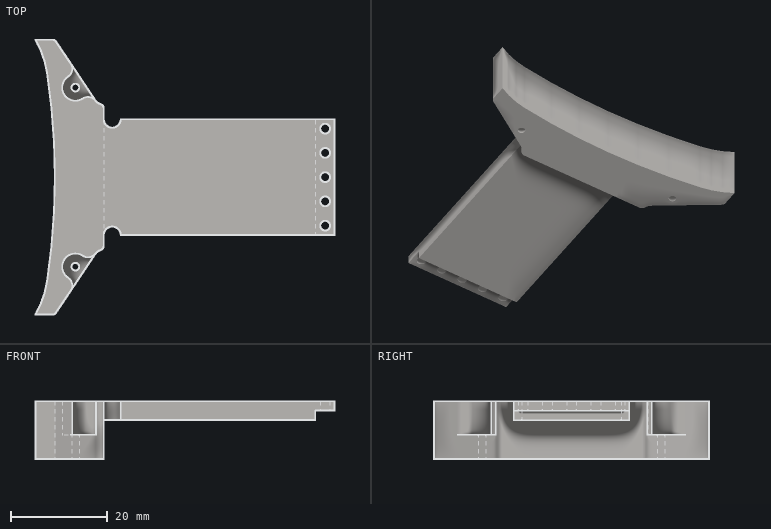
import cadquery as cq
import math

length = 62.0
width = 57.0
height = 12.0
half_width = width / 2

front_hollow = 4.0
front_break_x = 2.4
front_break_y = 21.6
tip_length = 4.0
tip_fillet = 1.0
head_length = 14.2
slope_end_x = 12.85
slope_end_y = 15.3
shoulder_round = 1.0
shoulder_blend = 2.0
shoulder_round_x = head_length - shoulder_round
shoulder_round_y = 14.2

plate_width = 24.0
plate_thickness = 3.95
lip_length = 4.0
lip_thickness = 2.0
notch_radius = 1.75

lip_hole_diameter = 2.0
lip_hole_count = 5
lip_hole_pitch = 5.0
lip_hole_x = length - 2.0

screw_x = 8.3
screw_y = 18.55
screw_diameter = 1.55
seat_radius = 2.7
seat_mouth_radius = 2.0
seat_depth = 7.0


slope_length = math.hypot(slope_end_x - tip_length, slope_end_y - half_width)
along_x = (slope_end_x - tip_length) / slope_length
along_y = (slope_end_y - half_width) / slope_length
outward_x = -along_y
outward_y = along_x


def distance_outside_slope(x, y):
    """Distance from the sloping +Y side to a point, positive outside the head."""
    return (x - tip_length) * outward_x + (y - half_width) * outward_y


def shoulder_points():
    """Points of the +Y shoulder: a concave blend off the slope, then a convex round."""
    center_distance = shoulder_round + shoulder_blend
    step_out = shoulder_blend - distance_outside_slope(shoulder_round_x, shoulder_round_y)
    step_back = math.sqrt(center_distance**2 - step_out**2)
    blend_x = shoulder_round_x + step_out * outward_x - step_back * along_x
    blend_y = shoulder_round_y + step_out * outward_y - step_back * along_y

    start_angle = math.atan2(-outward_y, -outward_x)
    end_angle = math.atan2(shoulder_round_y - blend_y, shoulder_round_x - blend_x)

    def on_blend(angle):
        return (blend_x + shoulder_blend * math.cos(angle), blend_y + shoulder_blend * math.sin(angle))

    round_angle = (end_angle + math.pi) / 2
    round_middle = (
        shoulder_round_x + shoulder_round * math.cos(round_angle),
        shoulder_round_y + shoulder_round * math.sin(round_angle),
    )
    return [
        on_blend(start_angle),
        on_blend((start_angle + end_angle) / 2),
        on_blend(end_angle),
        round_middle,
        (head_length, shoulder_round_y),
    ]


def front_middle():
    """Point halfway along the +Y half of the shallow front arc."""
    sagitta = front_hollow - front_break_x
    radius = (front_break_y**2 + sagitta**2) / (2 * sagitta)
    angle = math.asin(front_break_y / radius) / 2
    return (front_hollow - radius * (1 - math.cos(angle)), radius * math.sin(angle))


def tip_arc_middle():
    """Point halfway along the tip arc, which leaves the shallow front arc tangentially."""
    sagitta = front_hollow - front_break_x
    front_slope = 2 * math.atan(sagitta / front_break_y)
    rise = half_width - front_break_y
    chord_slope = math.atan(front_break_x / rise)
    chord = math.hypot(front_break_x, rise)
    bulge = chord / 2 * math.tan((chord_slope - front_slope) / 2)
    return (
        front_break_x / 2 + bulge * math.cos(chord_slope),
        front_break_y + rise / 2 + bulge * math.sin(chord_slope),
    )


def make_head():
    """Full-height head: hollow front, sloping sides and rounded shoulders."""
    slope_end, blend_middle, blend_end, round_middle, round_end = shoulder_points()
    half_head = (
        cq.Workplane("XY")
        .moveTo(front_hollow, 0)
        .threePointArc(front_middle(), (front_break_x, front_break_y))
        .threePointArc(tip_arc_middle(), (0, half_width))
        .lineTo(tip_length, half_width)
        .lineTo(*slope_end)
        .threePointArc(blend_middle, blend_end)
        .threePointArc(round_middle, round_end)
        .lineTo(head_length, 0)
        .close()
        .extrude(height)
    )
    tip_corner = cq.selectors.NearestToPointSelector((tip_length, half_width, height / 2))
    half_head = half_head.edges("|Z").edges(tip_corner).fillet(tip_fillet)
    return half_head.union(half_head.mirror("XZ")).clean()


def make_plate():
    """Plate flush with the top of the head, thinned to a lip at its far end."""
    plate_start = head_length - 2 * notch_radius
    profile = [
        (plate_start, height),
        (length, height),
        (length, height - lip_thickness),
        (length - lip_length, height - lip_thickness),
        (length - lip_length, height - plate_thickness),
        (plate_start, height - plate_thickness),
    ]
    plate = cq.Workplane("XZ").polyline(profile).close().extrude(plate_width / 2, both=True)
    notches = (
        cq.Workplane("XY")
        .pushPoints([(head_length + notch_radius, side * plate_width / 2) for side in (1, -1)])
        .circle(notch_radius)
        .extrude(height)
    )
    return plate.cut(notches)


def make_seat():
    """Cutter for the +Y screw seat: a round pocket opening smoothly onto the sloping side."""
    to_side = -distance_outside_slope(screw_x, screw_y)

    mouth_out = to_side - seat_mouth_radius
    center_distance = seat_radius + seat_mouth_radius
    mouth_along = math.sqrt(center_distance**2 - mouth_out**2)
    mouth_angle = math.atan2(mouth_out, mouth_along)
    join = (seat_radius * math.cos(mouth_angle), seat_radius * math.sin(mouth_angle))
    mid_angle = (math.pi / 2 + math.pi + mouth_angle) / 2
    mouth_middle = (
        mouth_along + seat_mouth_radius * math.cos(mid_angle),
        mouth_out + seat_mouth_radius * math.sin(mid_angle),
    )
    clear_out = to_side + seat_radius

    plane = cq.Plane(
        origin=(screw_x, screw_y, height - seat_depth),
        xDir=(along_x, along_y, 0),
        normal=(0, 0, 1),
    )
    return (
        cq.Workplane(plane)
        .moveTo(mouth_along, to_side)
        .threePointArc(mouth_middle, join)
        .threePointArc((0, -seat_radius), (-join[0], join[1]))
        .threePointArc((-mouth_middle[0], mouth_middle[1]), (-mouth_along, to_side))
        .lineTo(-mouth_along, clear_out)
        .lineTo(mouth_along, clear_out)
        .close()
        .extrude(seat_depth)
    )


def make_holes():
    """Cutters for the two screw holes and the row of lip holes."""
    screw_holes = (
        cq.Workplane("XY")
        .pushPoints([(screw_x, screw_y), (screw_x, -screw_y)])
        .circle(screw_diameter / 2)
        .extrude(height)
    )
    lip_holes = (
        cq.Workplane("XY")
        .center(lip_hole_x, 0)
        .rarray(0.6, lip_hole_pitch, 1, lip_hole_count)
        .circle(lip_hole_diameter / 2)
        .extrude(height)
    )
    return screw_holes.union(lip_holes)


seat = make_seat()
result = make_head().union(make_plate()).cut(seat).cut(seat.mirror("XZ")).cut(make_holes())